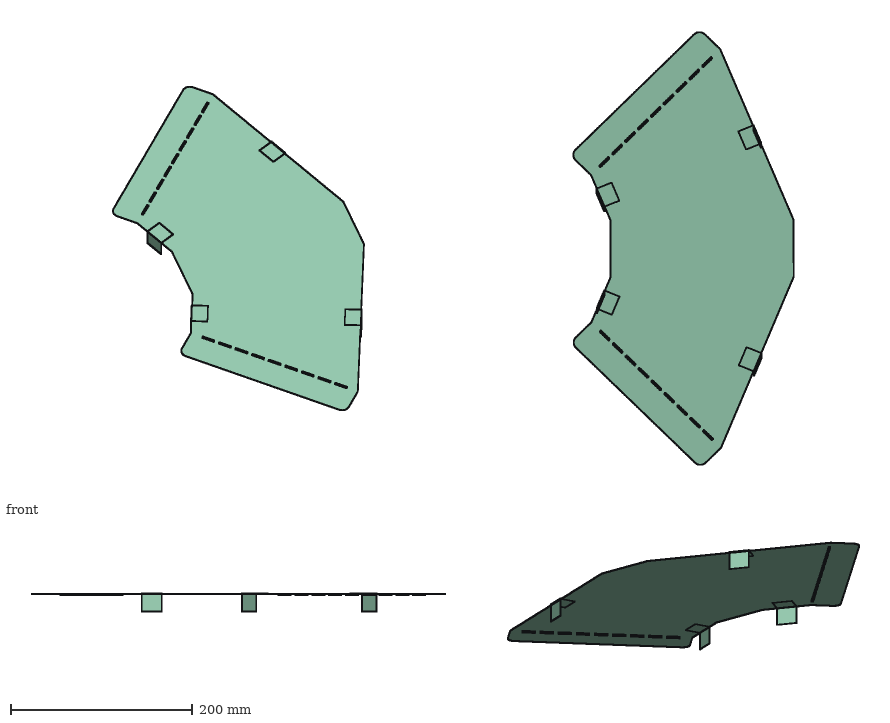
import cadquery as cq
import math

turn_angle = 22.5
sheet = 0.6
panel_width = 202.5
middle_length = 65.0
inner_edge = 55.5
flap_length = 32.5
corner_radius = 8.0
outer_edge = inner_edge + 2 * panel_width * math.sin(math.radians(turn_angle))

stitch_count = 9
stitch_pitch = 20.0
stitch_length = 14.0
stitch_width = 2.0
stitch_depth = 1.0
recess_depth = sheet / 2
stitch_centre = 101.5

clip_width = 22.5
clip_leaf = 18.3
clip_height = 20.0


def step(point, length, angle):
    """Point reached from the given one along a direction in degrees."""
    a = math.radians(angle)
    return point[0] + length * math.cos(a), point[1] + length * math.sin(a)


wedge_angle = -turn_angle
flap_angle = -2 * turn_angle
inner_start = (middle_length / 2, 0)
outer_start = (middle_length / 2, panel_width)
inner_fold = step(inner_start, inner_edge, wedge_angle)
outer_fold = step(outer_start, outer_edge, wedge_angle)
inner_tip = step(inner_fold, flap_length, flap_angle)
outer_tip = step(outer_fold, flap_length, flap_angle)


def both_sides(solid):
    """The solid and its mirror image about the bend's plane of symmetry."""
    return [solid, solid.mirror("YZ")]


def stitch_row(width, length, bottom, height):
    """Boxes spaced along the right-hand fold line."""
    boxes = (
        cq.Workplane("XY")
        .rarray(4.5, stitch_pitch, 1, stitch_count)
        .rect(width, length)
        .extrude(height)
    )
    x, y = step(inner_fold, stitch_centre, flap_angle + 90)
    return boxes.rotate((0, 0, 0), (0, 0, 1), flap_angle).translate((x, y, bottom))


def make_cover():
    right = [inner_start, inner_fold, inner_tip, outer_tip, outer_fold, outer_start]
    left = [(-x, y) for x, y in reversed(right)]
    cover = cq.Workplane("XY").polyline(right + left).close().extrude(sheet)
    for x, y in (inner_tip, outer_tip):
        for side in (x, -x):
            corner = cq.selectors.NearestToPointSelector((side, y, sheet / 2))
            cover = cover.edges("|Z").edges(corner).fillet(corner_radius)

    bumps = stitch_row(stitch_width, stitch_length, -stitch_depth, stitch_depth)
    recesses = stitch_row(stitch_width, stitch_length, sheet - recess_depth, recess_depth)
    for bump in both_sides(bumps):
        cover = cover.union(bump)
    for recess in both_sides(recesses):
        cover = cover.cut(recess)
    return cover


def make_clip(edge_point, outward):
    """Angle clip: leaf on top of the cover, leg hanging outside its edge."""
    top = 2 * sheet
    profile = [
        (sheet, top),
        (sheet, top - clip_height),
        (0, top - clip_height),
        (0, sheet),
        (sheet - clip_leaf, sheet),
        (sheet - clip_leaf, top),
    ]
    clip = cq.Workplane("XZ").polyline(profile).close().extrude(clip_width / 2, both=True)
    clip = clip.rotate((0, 0, 0), (0, 0, 1), outward)
    return clip.translate((edge_point[0], edge_point[1], 0))


def place(body):
    """Turn a body from the symmetric layout to its final direction."""
    return body.rotate((0, 0, 0), (0, 0, 1), -turn_angle).val()


cover = make_cover()
outer_clip = make_clip(step(outer_start, outer_edge / 2, wedge_angle), wedge_angle + 90)
inner_clip = make_clip(step(inner_start, inner_edge / 2, wedge_angle), wedge_angle - 90)
clips = both_sides(outer_clip) + both_sides(inner_clip)

result = cq.Compound.makeCompound([place(cover), *[place(clip) for clip in clips]])